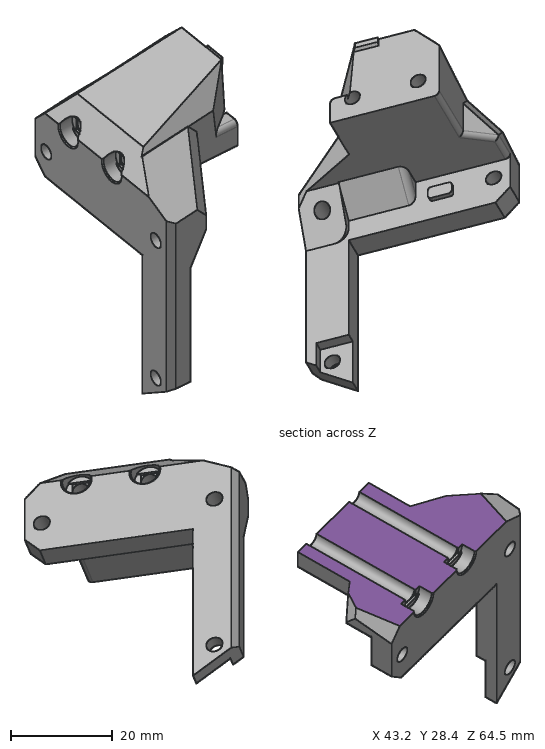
import cadquery as cq

total_width = 43.23
total_depth = 28.4
total_height = 64.45

plate_thickness = 5.0
plate_bottom = 35.3
plate_top = 51.42
plate_corner = 3.1
arm_left = 34.15
arm_tip_rise = 6.4
side_chamfer = 1.35

block_left = 6.03
block_right = 29.15
block_back = 27.85
block_bottom = 45.9
bottom_round = 1.04
plate_rear_top = block_bottom + bottom_round
front_bevel = 5.0
ridge_left = 11.24
ridge_right = 23.97
flank_slope = 1.079
flank_fall = 0.1535

left_wing_outer_y = 11.24
left_wing_inner_y = 15.0
right_wing_outer_y = 8.94
right_wing_inner_y = 17.6
right_slope = 0.46
right_crest_x = 36.33
wing_bevel_depth = 2.25
wing_bevel_drop = 2.55

notch_front_y = 21.7
notch_lean = 1.0
notch_floor = 52.0
notch_round = 1.15

lip_left = 18.86
lip_height = 1.2
lip_corner = 0.35

gusset_reach = 5.3
rib_left = 20.0
rib_size = 5.6
rib_round = 1.5
pad_left = 12.0
pad_width = 5.0
pad_height = 2.84
pad_center_z = 41.3
pad_thickness = 1.0
pad_round = 0.65

mount_diameter = 3.3
mount_pitch = 35.0
mount_x = 3.5
mount_z = 41.8

recess_right = 41.06
recess_top = 10.7
recess_floor_y = 2.8

screw_x = 10.5
screw_pitch = 13.9
screw_z = 50.9
screw_diameter = 3.2
seat_width = 3.27
seat_step = 0.3
head_diameter = 5.8
head_depth = 3.0
head_chamfer = 0.28

margin = 100.0


def box(x0, x1, y0, y1, z0, z1):
    return cq.Workplane("XY").box(x1 - x0, y1 - y0, z1 - z0, centered=False).translate((x0, y0, z0))


def prism_along_x(points_yz, x0, x1):
    return cq.Workplane("YZ").polyline(points_yz).close().extrude(x1 - x0).translate((x0, 0, 0))


def prism_along_z(points_xy, z0, z1):
    return cq.Workplane("XY").polyline(points_xy).close().extrude(z1 - z0).translate((0, 0, z0))


def space_above(a, b, c):
    """Large block on the upper side of the plane through three points."""
    a, b, c = cq.Vector(*a), cq.Vector(*b), cq.Vector(*c)
    normal = (b - a).cross(c - a)
    if normal.z < 0:
        normal = normal * -1
    plane = cq.Plane(origin=a, xDir=b - a, normal=normal)
    return cq.Workplane(plane).rect(2 * margin, 2 * margin).extrude(margin)


def left_flank(x, y):
    return (x, y, total_height - flank_slope * (ridge_left - x) - flank_fall * (block_back - y))


def right_flank(x, y):
    return (x, y, total_height - flank_slope * (x - ridge_right) - flank_fall * (block_back - y))


def right_wing_top(x, y):
    return (x, y, plate_top - right_slope * (x - right_crest_x) + flank_fall * y)


def bevel_cut(top, outer, inner):
    """Bevel between a sloped wing top and its upright back face; outer and inner are (x, y) of the back."""
    upper_outer = top(outer[0], outer[1] - wing_bevel_depth)
    upper_inner = top(inner[0], inner[1] - wing_bevel_depth)
    lower_outer = (outer[0], outer[1], upper_outer[2] - wing_bevel_drop)
    return space_above(upper_outer, upper_inner, lower_outer)


def make_hood():
    """Central block and left wing under a rising roof and sloped flanks."""
    wing_outer = (0, left_wing_outer_y)
    wing_inner = (block_left, left_wing_inner_y)
    plan = [
        (0, 0),
        (block_right, 0),
        (block_right, block_back),
        (block_left, block_back),
        wing_inner,
        wing_outer,
    ]
    hood = prism_along_z(plan, block_bottom, total_height)
    left_edges = cq.selectors.BoxSelector(
        (-bottom_round, 0, block_bottom - bottom_round),
        (block_left + bottom_round, block_back, block_bottom + bottom_round))
    hood = hood.edges(left_edges).fillet(bottom_round)

    side_profile = [
        (0, block_bottom),
        (block_back, block_bottom),
        (block_back, total_height),
        (front_bevel, plate_top + front_bevel),
        (0, plate_top + front_bevel),
    ]
    hood = hood.intersect(prism_along_x(side_profile, 0, block_right))
    hood = hood.cut(space_above(left_flank(0, 0), left_flank(block_left, 0), left_flank(0, block_back)))
    hood = hood.cut(space_above(right_flank(ridge_right, 0), right_flank(block_right, 0),
                                right_flank(ridge_right, block_back)))
    wing_space = box(0, block_left, 0, block_back, block_bottom, total_height)
    return hood.cut(bevel_cut(left_flank, wing_outer, wing_inner).intersect(wing_space))


def make_right_wing():
    """Sloped wing beside the block, with a tapered gusset under it above the arm."""
    outer = (total_width, right_wing_outer_y)
    inner = (block_right, right_wing_inner_y)
    plan = [(block_right, 0), (total_width, 0), outer, inner]
    wing = prism_along_z(plan, block_bottom, total_height)
    wing = wing.cut(space_above(right_wing_top(block_right, 0), right_wing_top(total_width, 0),
                                right_wing_top(block_right, block_back)))
    wing = wing.cut(bevel_cut(right_wing_top, outer, inner))

    gusset_profile = [
        (plate_thickness, plate_bottom),
        (plate_thickness + gusset_reach, block_bottom),
        (plate_thickness, block_bottom),
    ]
    gusset = prism_along_x(gusset_profile, arm_left, total_width)
    rounded_space = box(arm_left, total_width, 0, block_back, plate_bottom, block_bottom)
    rounded_space = rounded_space.edges("|Y and <X and <Z").fillet(plate_corner)
    gusset = gusset.intersect(prism_along_z(plan, plate_bottom, block_bottom)).intersect(rounded_space)
    return wing.union(gusset)


def make_plate():
    outline = [
        (arm_left, 0),
        (total_width, arm_tip_rise),
        (total_width, plate_rear_top),
        (0, plate_rear_top),
        (0, plate_bottom + plate_corner),
        (plate_corner, plate_bottom),
        (arm_left, plate_bottom),
    ]
    plate = cq.Workplane("XZ").polyline(outline).close().extrude(-plate_thickness)
    return plate.cut(box(0, recess_right, recess_floor_y, margin, 0, recess_top))


def make_front_bevel():
    """Bevel from the top of the plate face up to the foot of the roof, across block and wings."""
    corner = [
        (0, plate_top),
        (front_bevel, plate_top + front_bevel),
        (0, plate_top + front_bevel),
    ]
    return prism_along_x(corner, 0, total_width)


def make_side_chamfer():
    corner = [
        (total_width - side_chamfer, 0),
        (total_width, 0),
        (total_width, side_chamfer),
    ]
    return prism_along_z(corner, 0, total_height)


def make_rib():
    profile = [
        (plate_thickness, block_bottom),
        (plate_thickness + rib_size, block_bottom),
        (plate_thickness, block_bottom - rib_size),
    ]
    rib = prism_along_x(profile, rib_left, arm_left)
    return rib.faces("<X").edges(cq.selectors.NearestToPointSelector(
        (rib_left, plate_thickness + rib_size / 2, block_bottom - rib_size / 2))).fillet(rib_round)


def make_pad():
    pad = box(pad_left, pad_left + pad_width, plate_thickness, plate_thickness + pad_thickness,
              pad_center_z - pad_height / 2, pad_center_z + pad_height / 2)
    return pad.edges("|Y").fillet(pad_round)


def make_lip():
    lip_depth = total_depth - block_back
    profile = [
        (block_back, total_height),
        (total_depth, total_height),
        (total_depth, total_height - lip_height),
        (block_back, total_height - lip_height - lip_depth),
    ]
    lip = prism_along_x(profile, lip_left, ridge_right)
    return lip.edges("|Z and >X and >Y").chamfer(lip_corner)


def make_notch():
    """Corner cut with a leaning wall, down to a flat floor whose outer edge is rounded."""
    wall_back = right_flank(ridge_right, block_back)
    wall_front = right_flank(block_right, notch_front_y)
    foot = (wall_back[0] + notch_lean, wall_back[1], notch_floor)
    notch = space_above(wall_back, wall_front, foot)
    room = box(ridge_right, block_right, notch_front_y, block_back, notch_floor - notch_round, total_height)
    floor = box(ridge_right, block_right, 0, block_back, 0, notch_floor)
    floor = floor.edges("|Y and >X and >Z").fillet(notch_round)
    return notch.intersect(room).cut(floor)


def cylinder_along_y(x, z, diameter, depth):
    return cq.Workplane("XZ").center(x, z).circle(diameter / 2).extrude(-depth)


def make_screw_hole(x):
    """Head bore, then a slot step and a square step that lead into the round hole."""
    bore = cylinder_along_y(x, screw_z, head_diameter, head_depth)
    mouth = cq.Workplane(cq.Solid.makeCone(
        head_diameter / 2 + head_chamfer, head_diameter / 2, head_chamfer,
        pnt=cq.Vector(x, 0, screw_z), dir=cq.Vector(0, 1, 0)))
    half = seat_width / 2
    slot_end = head_depth + seat_step
    slot = box(x - head_diameter, x + head_diameter, 0, slot_end, screw_z - half, screw_z + half)
    slot = slot.intersect(cylinder_along_y(x, screw_z, head_diameter, slot_end))
    square = box(x - half, x + half, 0, slot_end + seat_step, screw_z - half, screw_z + half)
    hole = cylinder_along_y(x, screw_z, screw_diameter, total_depth)
    return bore.union(mouth).union(slot).union(square).union(hole)


result = make_plate().union(make_hood()).union(make_right_wing())
result = result.union(make_rib()).union(make_pad())
result = result.cut(make_notch()).union(make_lip())
result = result.cut(make_front_bevel()).cut(make_side_chamfer())

mount_points = [
    (mount_x, mount_z),
    (mount_x + mount_pitch, mount_z),
    (mount_x + mount_pitch, mount_z - mount_pitch),
]
for hole_x, hole_z in mount_points:
    result = result.cut(cylinder_along_y(hole_x, hole_z, mount_diameter, total_depth))

for index in range(2):
    result = result.cut(make_screw_hole(screw_x + index * screw_pitch))